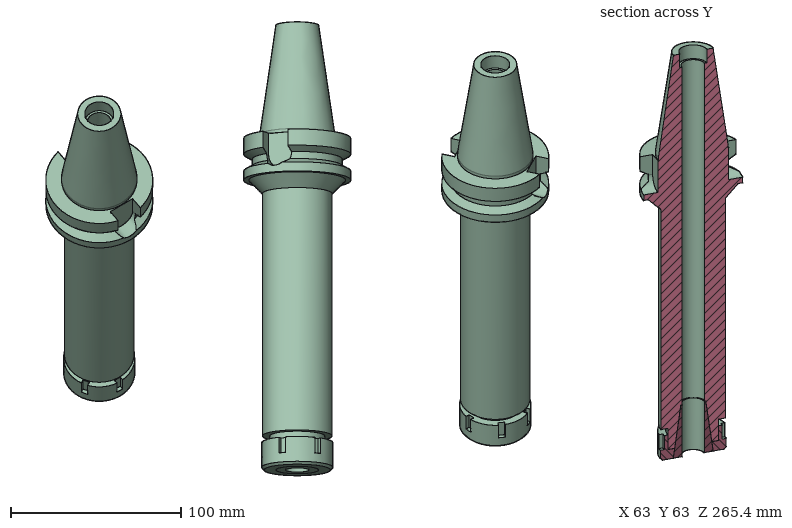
import cadquery as cq
import math

gauge_dia = 44.45
taper_rate = 7 / 24
taper_length = 65.4
projection = 200.0

flange_dia = 63.0
flange_top = -2.0
flange_bottom = -27.0
groove_mid = -16.6
groove_floor_dia = 53.0
groove_floor_width = 4.2
groove_half_angle = 30.0
flange_foot_dia = 57.0

body_dia = 41.0
neck_dia = 32.4
shank_bore_dia = 14.2
counterbore_dia = 17.0
counterbore_depth = 9.0

slot_width = 16.1
slot_bottom = -23.0
slot_flat_distance = 45.0

nut_dia = 42.0
nut_height = 16.3
nut_chamfer = 1.5
nut_gap = 4.0
nose_engagement = 10.0
wrench_slot_count = 6
wrench_slot_width = 4.0
wrench_slot_depth = 2.5
wrench_slot_length = 9.2

collet_bore_dia = 13.8
collet_mouth_dia = 25.0
collet_length = 34.0
collet_half_angle = 8.0

nose_z = -projection
nut_top = nose_z + nut_height
body_bottom = nut_top + nut_gap
nose_bottom = nut_top - nose_engagement
collet_top = nose_z + collet_length
collet_top_dia = collet_mouth_dia - 2 * collet_length * math.tan(math.radians(collet_half_angle))


def revolve_profile(points):
    """Revolve (radius, z) points around the Z axis."""
    return cq.Workplane("XZ").polyline(points).close().revolve(360, (0, 0, 0), (0, 1, 0))


def make_collet_seat():
    """Solid cone filling the collet's outer shape; also the cutter for its seat in holder and nut."""
    return revolve_profile([
        (0, nose_z),
        (collet_mouth_dia / 2, nose_z),
        (collet_top_dia / 2, collet_top),
        (0, collet_top),
    ])


def make_collet():
    return make_collet_seat().faces("<Z").workplane().hole(collet_bore_dia)


def make_drive_slots():
    """Cutter for the two round-bottomed slots on the +X and -X sides."""
    radius = slot_width / 2
    arc_z = slot_bottom + radius
    slot_through = (
        cq.Workplane("YZ")
        .moveTo(-radius, 0)
        .lineTo(-radius, arc_z)
        .threePointArc((0, slot_bottom), (radius, arc_z))
        .lineTo(radius, 0)
        .close()
        .extrude(flange_dia / 2, both=True)
    )
    core_between_flats = cq.Workplane("XY").box(slot_flat_distance, flange_dia, 2 * abs(flange_bottom))
    return slot_through.cut(core_between_flats)


def make_holder():
    floor_top = groove_mid + groove_floor_width / 2
    floor_bottom = groove_mid - groove_floor_width / 2
    groove_depth = (flange_dia - groove_floor_dia) / 2
    flare = groove_depth * math.tan(math.radians(groove_half_angle))
    cone_bottom = flange_bottom - (flange_foot_dia - body_dia) / 2
    holder = revolve_profile([
        (0, taper_length),
        ((gauge_dia - taper_length * taper_rate) / 2, taper_length),
        (gauge_dia / 2, 0),
        (gauge_dia / 2, flange_top),
        (flange_dia / 2, flange_top),
        (flange_dia / 2, floor_top + flare),
        (groove_floor_dia / 2, floor_top),
        (groove_floor_dia / 2, floor_bottom),
        (flange_dia / 2, floor_bottom - flare),
        (flange_dia / 2, flange_bottom),
        (flange_foot_dia / 2, flange_bottom),
        (body_dia / 2, cone_bottom),
        (body_dia / 2, body_bottom),
        (neck_dia / 2, body_bottom),
        (neck_dia / 2, nose_bottom),
        (0, nose_bottom),
    ])
    bore = (
        cq.Workplane("XY", origin=(0, 0, nose_bottom))
        .circle(shank_bore_dia / 2)
        .extrude(taper_length - nose_bottom)
        .faces(">Z").workplane()
        .circle(counterbore_dia / 2)
        .extrude(-counterbore_depth)
    )
    drive_slots = make_drive_slots()
    return holder.cut(bore).cut(drive_slots).cut(make_collet_seat())


def make_nut():
    nut = (
        cq.Workplane("XY", origin=(0, 0, nose_z))
        .circle(nut_dia / 2)
        .extrude(nut_height)
        .faces("<Z").chamfer(nut_chamfer)
    )
    wrench_slot = (
        cq.Workplane("XY")
        .box(wrench_slot_depth, wrench_slot_width, wrench_slot_length)
        .translate((nut_dia / 2 - wrench_slot_depth / 2, 0, nut_top - wrench_slot_length / 2))
    )
    for index in range(wrench_slot_count):
        angle = index * 360 / wrench_slot_count
        nut = nut.cut(wrench_slot.rotate((0, 0, 0), (0, 0, 1), angle))
    nose_recess = (
        cq.Workplane("XY", origin=(0, 0, nose_bottom))
        .circle(neck_dia / 2)
        .extrude(nose_engagement)
    )
    return nut.cut(nose_recess).cut(make_collet_seat())


holder = make_holder()
nut = make_nut()
collet = make_collet()

result = cq.Compound.makeCompound([body.solids().val() for body in (holder, nut, collet)])